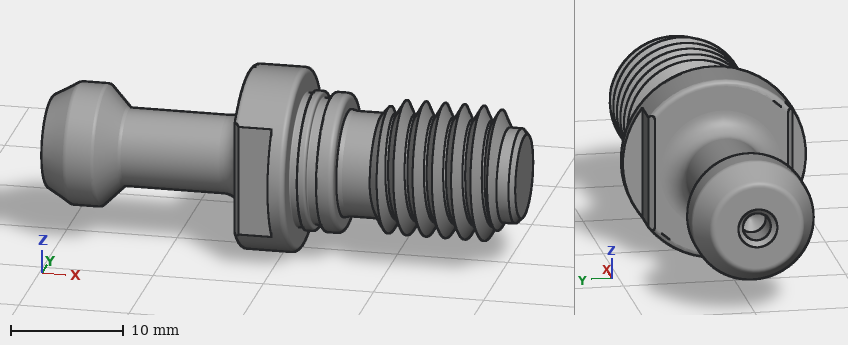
import cadquery as cq
import math


head_radius = 5.5
nose_radius = 4.08
nose_angle = math.radians(30)
nose_fillet = 0.6
head_land_end = 5.0
head_back_fillet = 0.4
neck_radius = 3.5
head_back_end = head_land_end + head_radius - neck_radius

hole_radius = 1.25
countersink_radius = 1.75
hole_depth = 3.0
drill_tip_angle = math.radians(118)

flange_start = 18.0
flange_end = 23.0
flange_radius = 8.25
flange_fillet = 0.5
flange_root_fillet = 2.0
flat_chamfer = 0.5
flat_half_width = 6.5
flat_end = 21.5

pilot_radius = 6.0
rib_radius = 6.25
rib_start = 23.72
rib_end = 24.5
groove_radius = 5.65
groove_end = 25.42
land_end = 27.0
floor_fillet = 0.1
rim_fillet = 0.25
land_fillet = 0.5
undercut_start = 27.5
undercut_taper_height = 0.13

thread_radius = 6.0
thread_core_radius = 4.7
thread_pitch = 1.75
thread_burial = 0.12
thread_turns = 8
thread_start = 30.0
crest_position = 32.02
ridge_start = crest_position - 1.5 * thread_pitch
thread_half_angle = math.radians(30)
entry_cone_angle = math.radians(50)
exit_cone_angle = math.radians(60)

tip_radius = 4.25
tip_start = 41.4
tip_chamfer = 0.5
total_length = 43.0

clearance = 0.2


def revolve_about_x(profile):
    return profile.close().revolve(360, (0, 0, 0), (1, 0, 0))


def ring_at(x):
    """Select the circular edges whose centre lies on the axis at the given x."""
    slack = 0.01
    return cq.selectors.BoxSelector((x - slack, -slack, -slack), (x + slack, slack, slack))


def make_head_and_neck():
    nose_length = (head_radius - nose_radius) / math.tan(nose_angle)
    profile = (
        cq.Workplane("XY")
        .lineTo(0, nose_radius)
        .lineTo(nose_length, head_radius)
        .lineTo(head_land_end, head_radius)
        .lineTo(head_back_end, neck_radius)
        .lineTo(flange_start - flange_root_fillet, neck_radius)
        .radiusArc((flange_start, neck_radius + flange_root_fillet), -flange_root_fillet)
        .lineTo(flange_start, 0)
    )
    head = revolve_about_x(profile)
    head = head.edges(ring_at(0)).fillet(nose_fillet)
    head = head.edges(ring_at(nose_length)).fillet(nose_fillet)
    head = head.edges(ring_at(head_land_end)).fillet(head_back_fillet)
    return head.edges(ring_at(head_back_end)).fillet(head_back_fillet)


def make_flange():
    disc = (
        cq.Workplane("YZ", origin=(flange_start, 0, 0))
        .circle(flange_radius)
        .extrude(flange_end - flange_start)
        .edges()
        .fillet(flange_fillet)
    )
    between_flats = (
        cq.Workplane("YZ", origin=(flange_start, 0, 0))
        .rect(2 * flat_half_width, 2 * (flange_radius + clearance))
        .extrude(flat_end - flange_start)
        .edges("<X and |Z")
        .chamfer(flat_chamfer)
    )
    collar_zone = (
        cq.Workplane("YZ", origin=(flat_end, 0, 0))
        .circle(flange_radius + clearance)
        .extrude(flange_end - flat_end)
    )
    return disc.intersect(between_flats.union(collar_zone))


def make_pilot():
    profile = (
        cq.Workplane("XY")
        .moveTo(flange_end, 0)
        .lineTo(flange_end, pilot_radius + floor_fillet)
        .radiusArc((flange_end + floor_fillet, pilot_radius), -floor_fillet)
        .lineTo(rib_start - floor_fillet, pilot_radius)
        .radiusArc((rib_start, pilot_radius + floor_fillet), -floor_fillet)
        .lineTo(rib_start, rib_radius)
        .lineTo(rib_end - rim_fillet, rib_radius)
        .radiusArc((rib_end, rib_radius - rim_fillet), rim_fillet)
        .lineTo(rib_end, groove_radius + floor_fillet)
        .radiusArc((rib_end + floor_fillet, groove_radius), -floor_fillet)
        .lineTo(groove_end - floor_fillet, groove_radius)
        .radiusArc((groove_end, groove_radius + floor_fillet), -floor_fillet)
        .lineTo(groove_end, rib_radius - rim_fillet)
        .radiusArc((groove_end + rim_fillet, rib_radius), rim_fillet)
        .lineTo(land_end - land_fillet, rib_radius)
        .radiusArc((land_end, rib_radius - land_fillet), land_fillet)
        .lineTo(land_end, thread_core_radius + undercut_taper_height)
        .lineTo(undercut_start, thread_core_radius)
        .lineTo(undercut_start, 0)
    )
    return revolve_about_x(profile)


def make_thread_ridge():
    buried_radius = thread_core_radius - thread_burial
    half_width = (thread_radius - buried_radius) * math.tan(thread_half_angle)
    helix = cq.Wire.makeHelix(thread_pitch, thread_turns * thread_pitch, thread_radius)
    return (
        cq.Workplane("XZ")
        .moveTo(buried_radius, -half_width)
        .lineTo(thread_radius, 0)
        .lineTo(buried_radius, half_width)
        .close()
        .sweep(cq.Workplane(helix), isFrenet=True)
        .rotate((0, 0, 0), (0, 1, 0), 90)
        .translate((ridge_start, 0, 0))
    )


def make_thread_envelope():
    outer = thread_radius + clearance
    entry_length = (outer - thread_core_radius) / math.tan(entry_cone_angle)
    exit_length = (outer - tip_radius) / math.tan(exit_cone_angle)
    profile = (
        cq.Workplane("XY")
        .moveTo(thread_start, 0)
        .lineTo(thread_start, thread_core_radius)
        .lineTo(thread_start + entry_length, outer)
        .lineTo(tip_start - exit_length, outer)
        .lineTo(tip_start, tip_radius)
        .lineTo(tip_start, 0)
    )
    return revolve_about_x(profile)


def make_thread():
    rod_start = ridge_start - thread_pitch
    rod_length = (thread_turns + 2) * thread_pitch
    rod = cq.Workplane("YZ", origin=(rod_start, 0, 0)).circle(thread_core_radius).extrude(rod_length)
    return rod.union(make_thread_ridge()).intersect(make_thread_envelope())


def make_undercut():
    return (
        cq.Workplane("YZ", origin=(undercut_start, 0, 0))
        .circle(thread_core_radius)
        .extrude(thread_start - undercut_start)
    )


def make_tip():
    return (
        cq.Workplane("YZ", origin=(tip_start, 0, 0))
        .circle(tip_radius)
        .extrude(total_length - tip_start)
        .faces(">X")
        .chamfer(tip_chamfer)
    )


def make_center_hole():
    sink = countersink_radius - hole_radius
    tip = hole_radius / math.tan(drill_tip_angle / 2)
    profile = (
        cq.Workplane("XY")
        .lineTo(0, countersink_radius)
        .lineTo(sink, hole_radius)
        .lineTo(hole_depth, hole_radius)
        .lineTo(hole_depth + tip, 0)
    )
    return revolve_about_x(profile)


result = (
    make_head_and_neck()
    .union(make_flange())
    .union(make_pilot())
    .union(make_undercut())
    .union(make_thread())
    .union(make_tip())
    .cut(make_center_hole())
)